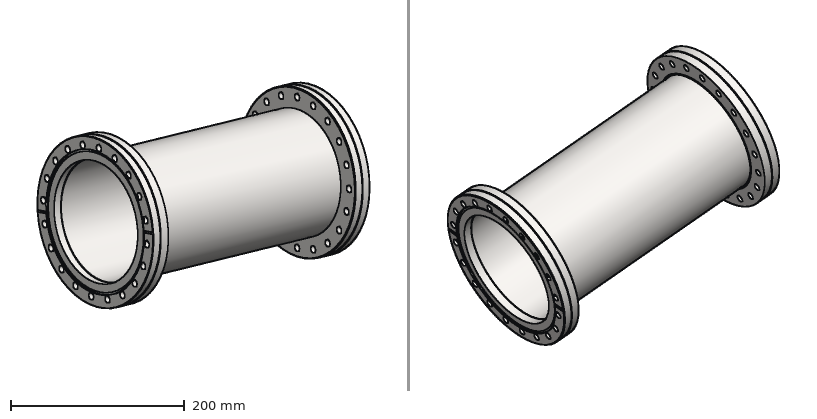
import cadquery as cq

FULL_TURN = 360

LENGTH = 333.3
FLANGE_DIAMETER = 203.0
RING_THICKNESS = 23.3
FIXED_FLANGE_THICKNESS = 23.0

TUBE_OUTER_DIAMETER = 152.3
TUBE_INNER_DIAMETER = 147.5
FLANGE_BORE_DIAMETER = 146.0
SOCKET_SHOULDER = 12.3

RECESS_DIAMETER = 171.3
RECESS_DEPTH = 1.3
KNIFE_DIAMETER = 166.0
KNIFE_SLOPE_DROP = 1.0

INSERT_HUB_DIAMETER = 156.0
INSERT_RIM_BACK = 13.3

BOLT_COUNT = 20
BOLT_CIRCLE_DIAMETER = 181.0
BOLT_HOLE_DIAMETER = 8.3
BOLT_PITCH = FULL_TURN / BOLT_COUNT
RING_TURN = 4.8
FIXED_FLANGE_TURN = BOLT_PITCH / 2

RING_CHAMFER = 0.5
FIXED_FLANGE_CHAMFER = 1.0
RIM_GROOVE_WIDTH = 0.5
RIM_GROOVE_DEPTH = 0.5
LEAK_GROOVE_WIDTH = 2.3
LEAK_GROOVE_DEPTH = 0.5

ORIGIN = (0, 0, 0)
Y_AXIS = (0, 1, 0)
Z_AXIS = (0, 0, 1)



def cylinder(diameter, start, end):
    """Solid cylinder on the Y axis from y = start to y = end."""
    return cq.Workplane("XZ", origin=(0, start, 0)).circle(diameter / 2).extrude(start - end)


def tube_ring(outer_diameter, inner_diameter, start, end):
    """Hollow cylinder on the Y axis from y = start to y = end."""
    return cylinder(outer_diameter, start, end).cut(cylinder(inner_diameter, start, end))


def rim_groove(thickness):
    """Cutter for the shallow groove around the middle of a flange rim."""
    start = (thickness - RIM_GROOVE_WIDTH) / 2
    floor_diameter = FLANGE_DIAMETER - 2 * RIM_GROOVE_DEPTH
    return tube_ring(FLANGE_DIAMETER, floor_diameter, start, start + RIM_GROOVE_WIDTH)


def bolt_holes(thickness):
    """Cutter for the bolt circle, with the first hole half a pitch from the leak grooves."""
    return (
        cq.Workplane("XZ")
        .polarArray(BOLT_CIRCLE_DIAMETER / 2, BOLT_PITCH / 2, FULL_TURN, BOLT_COUNT)
        .circle(BOLT_HOLE_DIAMETER / 2)
        .extrude(-thickness)
    )


def leak_grooves():
    """Cutter for the two opposite radial grooves across the outer face."""
    bar = cq.Workplane("XY").box(FLANGE_DIAMETER, 2 * LEAK_GROOVE_DEPTH, LEAK_GROOVE_WIDTH)
    return bar.cut(cylinder(RECESS_DIAMETER, -LEAK_GROOVE_DEPTH, LEAK_GROOVE_DEPTH))


def drilled_blank(thickness, chamfered_edges, chamfer):
    """Flange disc with chamfered edges, rim groove, bolt holes and leak grooves."""
    disc = cylinder(FLANGE_DIAMETER, 0, thickness).edges(chamfered_edges).chamfer(chamfer)
    return disc.cut(rim_groove(thickness)).cut(bolt_holes(thickness)).cut(leak_grooves())


def recess():
    """Cutter for the recessed sealing face with its conical slope outside the knife edge."""
    slope_bottom = RECESS_DEPTH + KNIFE_SLOPE_DROP
    profile = [
        (0, 0),
        (RECESS_DIAMETER / 2, 0),
        (RECESS_DIAMETER / 2, slope_bottom),
        (KNIFE_DIAMETER / 2, RECESS_DEPTH),
        (0, RECESS_DEPTH),
    ]
    return cq.Workplane("XY").polyline(profile).close().revolve(FULL_TURN, ORIGIN, Y_AXIS)


def bore(thickness):
    """Cutter for the flange bore and the tube socket behind it."""
    socket = cylinder(TUBE_OUTER_DIAMETER, SOCKET_SHOULDER, thickness)
    return cylinder(FLANGE_BORE_DIAMETER, 0, thickness).union(socket)


def insert_blank():
    """Stepped disc: a wide rim at the front and a narrower hub behind it."""
    rim = cylinder(RECESS_DIAMETER, 0, INSERT_RIM_BACK)
    return rim.union(cylinder(INSERT_HUB_DIAMETER, INSERT_RIM_BACK, RING_THICKNESS))


def make_tube():
    end = LENGTH / 2 - SOCKET_SHOULDER
    return tube_ring(TUBE_OUTER_DIAMETER, TUBE_INNER_DIAMETER, -end, end)


def make_rotatable_ring():
    ring = drilled_blank(RING_THICKNESS, "<Y", RING_CHAMFER).cut(insert_blank())
    return ring.rotate(ORIGIN, Y_AXIS, -RING_TURN).translate((0, -LENGTH / 2, 0))


def make_insert():
    insert = insert_blank().cut(recess()).cut(bore(RING_THICKNESS))
    return insert.translate((0, -LENGTH / 2, 0))


def make_fixed_flange():
    flange = drilled_blank(FIXED_FLANGE_THICKNESS, "<Y or >Y", FIXED_FLANGE_CHAMFER)
    flange = flange.cut(recess()).cut(bore(FIXED_FLANGE_THICKNESS))
    facing_back = flange.rotate(ORIGIN, Z_AXIS, FULL_TURN / 2).rotate(ORIGIN, Y_AXIS, FIXED_FLANGE_TURN)
    return facing_back.translate((0, LENGTH / 2, 0))


tube = make_tube()
rotatable_ring = make_rotatable_ring()
insert = make_insert()
fixed_flange = make_fixed_flange()

result = cq.Compound.makeCompound(
    [tube.val(), rotatable_ring.val(), insert.val(), fixed_flange.val()]
)